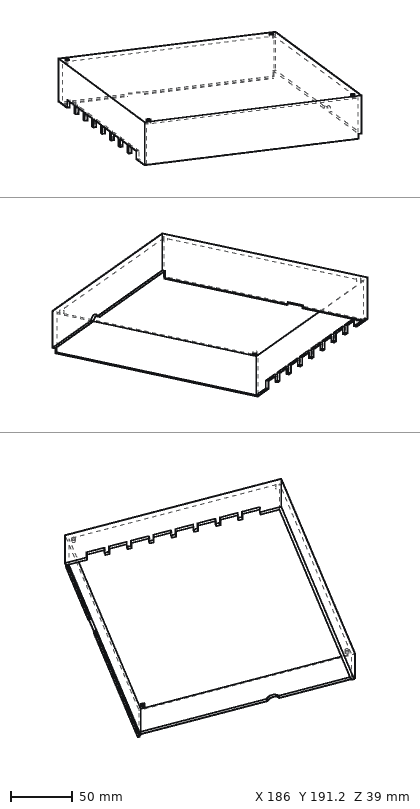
import cadquery as cq

length_x = 186.0
length_y = 191.2
height = 39.0

wall = 2.5
lip_height = 2.1
lip_thickness = 1.7
lip_gap_width = 14.1
lip_gap_y = -28.5

slot_count = 8
slot_row_width = 149.0
tooth_width = 3.6
slot_top = 9.0

back_wall_bottom = 6.3
arch_radius = 5.5
arch_x = 22.8
arch_z = 4.2

hole_diameter = 3.5
hole_inset_x = 5.4
hole_inset_y = 5.5

slot_width = (slot_row_width - (slot_count - 1) * tooth_width) / slot_count
slot_pitch = slot_width + tooth_width
front_y = -length_y / 2
back_y = length_y / 2
left_x = -length_x / 2


def box(size_x, size_y, bottom, top):
    """Box centred on X and Y, reaching from bottom to top in Z."""
    base = cq.Workplane("XY").workplane(offset=bottom)
    return base.rect(size_x, size_y).extrude(top - bottom)


def make_shell():
    """Cover with a closed top and an open underside."""
    outside = box(length_x, length_y, lip_height, height)
    cavity = box(length_x - 2 * wall, length_y - 2 * wall, 0, height - wall)
    return outside.cut(cavity)


def make_lip():
    """Lip under the left wall, between the front and back walls, broken by one gap."""
    lip = box(lip_thickness, length_y - 2 * wall, 0, lip_height)
    gap = box(lip_thickness, lip_gap_width, 0, lip_height).translate((0, lip_gap_y, 0))
    return lip.cut(gap).translate((left_x + lip_thickness / 2, 0, 0))


def make_front_slots():
    """Equal openings through the front wall, separated by narrow teeth."""
    first_x = -slot_pitch * (slot_count - 1) / 2
    centres = [(first_x + i * slot_pitch, front_y + wall / 2) for i in range(slot_count)]
    return cq.Workplane("XY").pushPoints(centres).rect(slot_width, wall).extrude(slot_top)


def make_back_step():
    """Strip removed along the bottom of the back wall over the full width."""
    return box(length_x, wall, 0, back_wall_bottom).translate((0, back_y - wall / 2, 0))


def make_cable_arch():
    """Round cable opening through the back wall."""
    profile = cq.Workplane("XZ", origin=(arch_x, back_y, arch_z)).circle(arch_radius)
    return profile.extrude(wall)


def make_screw_holes():
    """One hole near each corner of the top plate."""
    spacing_x = length_x - 2 * hole_inset_x
    spacing_y = length_y - 2 * hole_inset_y
    corners = cq.Workplane("XY").rect(spacing_x, spacing_y, forConstruction=True).vertices()
    return corners.circle(hole_diameter / 2).extrude(height)


result = (
    make_shell()
    .union(make_lip())
    .cut(make_front_slots())
    .cut(make_back_step())
    .cut(make_cable_arch())
    .cut(make_screw_holes())
)